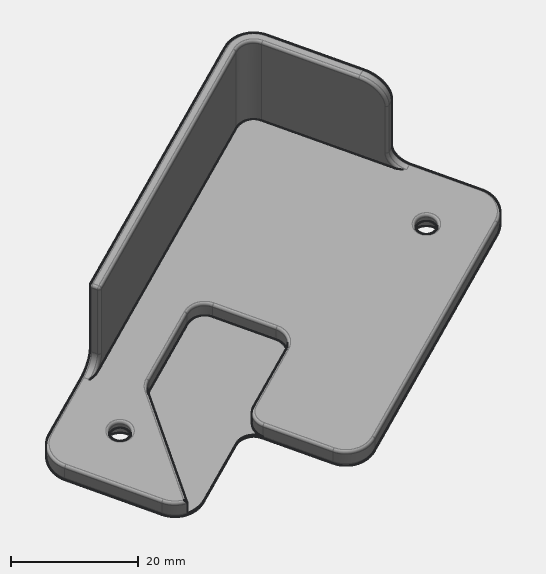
import cadquery as cq
import math

length = 77.0
width = 47.0
height = 24.5
plate_thickness = 4.5
tail_width = 26.7
tail_length = 20.25
wall_thickness = 2.0
corner_radius = 5.0
inner_radius = corner_radius - wall_thickness
edge_round = 0.5
bottom_round = 1.5

foot_overrun = 2 * inner_radius
strip_start = tail_length - foot_overrun
strip_end = tail_width + foot_overrun

pocket_left = 10.0
pocket_right = 26.95
pocket_top = 38.6
pocket_floor = bottom_round
pocket_bend = 19.95
pocket_slant = math.radians(50)

hole_diameter = 3.5
hole_inset = 10.0
counterbore_diameter = 6.0
counterbore_depth = 3.0
hole_centers = [(hole_inset, hole_inset), (width - hole_inset, length - hole_inset)]


def upright_edges_at(body, points):
    """Upright edges of a body standing over the given (x, y) points."""
    tolerance = 0.01

    def stands_on_point(edge):
        center = edge.Center()
        return any(math.hypot(center.x - x, center.y - y) < tolerance for x, y in points)

    return body.edges("|Z").filter(stands_on_point)


def make_plate():
    """Stepped plate with rounded corners and a rounded underside edge."""
    notch_corner = (tail_width, tail_length)
    outer_corners = [
        (0, 0),
        (tail_width, 0),
        (width, tail_length),
        (width, length),
        (0, length),
    ]
    outline = outer_corners[:2] + [notch_corner] + outer_corners[2:]
    plate = cq.Workplane("XY").polyline(outline).close().extrude(plate_thickness)
    plate = upright_edges_at(plate, outer_corners).fillet(corner_radius)
    plate = upright_edges_at(plate, [notch_corner]).fillet(inner_radius)
    return plate.faces("<Z").edges().fillet(bottom_round)


def make_pocket_mould():
    """Oversized block holding the pocket with its rim rounded; the plate is trimmed to it."""
    block_end = 2 * width
    slant_end = pocket_bend - (block_end - pocket_left) * math.tan(pocket_slant)
    rounded_corners = [
        (pocket_right, tail_length),
        (pocket_right, pocket_top),
        (pocket_left, pocket_top),
        (pocket_left, pocket_bend),
    ]
    outline = rounded_corners + [(block_end, slant_end), (block_end, tail_length)]
    pocket = (
        cq.Workplane("XY", origin=(0, 0, pocket_floor))
        .polyline(outline)
        .close()
        .extrude(plate_thickness)
    )
    pocket = upright_edges_at(pocket, rounded_corners).fillet(inner_radius)
    block = cq.Workplane("XY").rect(2 * block_end, 4 * block_end).extrude(plate_thickness)
    block = block.cut(pocket)
    left_rim_middle = (pocket_left, (pocket_top + pocket_bend) / 2, plate_thickness)
    left_rim = cq.selectors.NearestToPointSelector(left_rim_middle)
    return block.edges(left_rim).fillet(edge_round)


def make_holes():
    """Tools for the counterbored screw holes."""
    centers = cq.Workplane("XY").pushPoints(hole_centers)
    bores = centers.circle(hole_diameter / 2).extrude(plate_thickness)
    counterbores = centers.circle(counterbore_diameter / 2).extrude(counterbore_depth)
    return bores.union(counterbores)


def make_corner_strip(thickness):
    """Full-height upright strip along the left and rear sides, as long as the wall and its feet."""
    inner_x = thickness
    inner_y = length - thickness
    strip_height = height - bottom_round
    base = cq.Workplane("XY", origin=(0, 0, bottom_round))
    outline = [
        (0, strip_start),
        (inner_x, strip_start),
        (inner_x, inner_y),
        (strip_end, inner_y),
        (strip_end, length),
        (0, length),
    ]
    strip = base.polyline(outline).close().extrude(strip_height)
    strip = upright_edges_at(strip, [(inner_x, inner_y)]).fillet(corner_radius - thickness)
    return upright_edges_at(strip, [(0, length)]).fillet(corner_radius)


def make_wall():
    """Side and rear wall; each foot runs out into a strip level with the plate."""
    foot_top = plate_thickness + inner_radius
    side_clearance = (
        cq.Workplane("YZ")
        .moveTo(strip_start, plate_thickness)
        .lineTo(tail_length - inner_radius, plate_thickness)
        .radiusArc((tail_length, foot_top), -inner_radius)
        .lineTo(tail_length, height)
        .lineTo(strip_start, height)
        .close()
        .extrude(strip_end)
    )
    rear_clearance = (
        cq.Workplane("XZ", origin=(0, length, 0))
        .moveTo(strip_end, plate_thickness)
        .lineTo(tail_width + inner_radius, plate_thickness)
        .radiusArc((tail_width, foot_top), inner_radius)
        .lineTo(tail_width, height - corner_radius)
        .radiusArc((tail_width - corner_radius, height), -corner_radius)
        .lineTo(strip_end, height)
        .close()
        .extrude(length)
    )
    wall = make_corner_strip(wall_thickness).cut(side_clearance).cut(rear_clearance)
    side_corners = [(0, tail_length), (wall_thickness, tail_length)]
    rims = wall.faces(">Z").edges("not >X").add(upright_edges_at(wall, side_corners))
    return rims.fillet(edge_round)


plate = make_plate().cut(make_holes())
plate = plate.faces(">Z").edges().fillet(edge_round)
plate = plate.intersect(make_pocket_mould())
seat = make_corner_strip(wall_thickness / 2)
result = plate.cut(seat).union(make_wall()).solids()